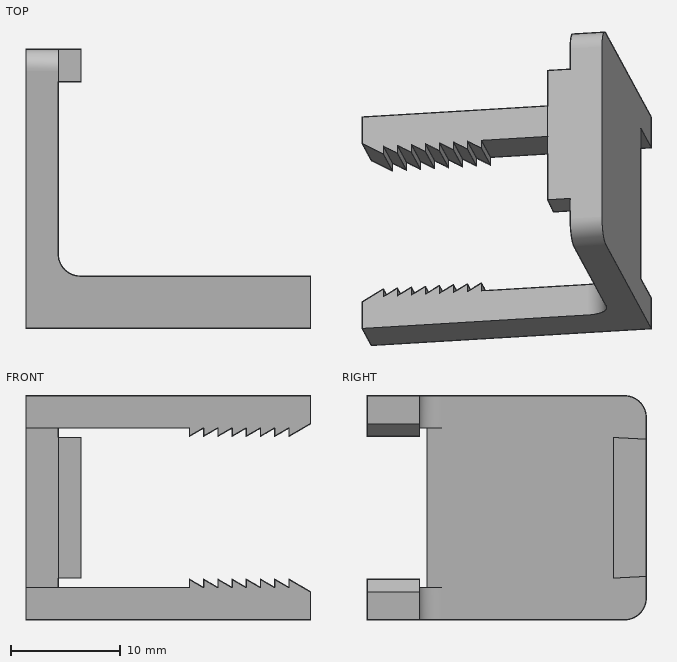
import cadquery as cq
import math

length = 26.0
depth = 25.5
height = 20.5

wall = 2.96
arm_depth = 4.78
window_depth = 5.45
corner_radius = 2.0
inner_radius = 2.0

lip_reach = 2.08
lip_depth = 3.0
lip_height = 12.85
lip_end_tilt = 3.0

tooth_count = 8
tooth_start = 14.92
tooth_pitch = 1.3
tooth_height = 0.75

half_height = height / 2
arm_inner = half_height - wall


def bracket_body():
    """L-shaped bracket with a rounded inside corner, centred on Z = 0."""
    body = (
        cq.Workplane("XY")
        .workplane(offset=-half_height)
        .polyline([
            (0, 0),
            (length, 0),
            (length, arm_depth),
            (wall, arm_depth),
            (wall, depth),
            (0, depth),
        ])
        .close()
        .extrude(height)
    )
    inside_corner = cq.selectors.NearestToPointSelector((wall, arm_depth, 0))
    body = body.edges(inside_corner).fillet(inner_radius)
    return body.edges("|X and >Y").fillet(corner_radius)


def window():
    """Opening that separates the arms, notches the plate and clears the inside fillet between the arms."""
    gap = 2 * arm_inner
    notch = cq.Workplane("XY").box(length, window_depth, gap, centered=(False, False, True))
    fillet_clearance = (
        cq.Workplane("XY")
        .box(length - wall, arm_depth + inner_radius, gap, centered=(False, False, True))
        .translate((wall, 0, 0))
    )
    return notch.union(fillet_clearance)


def lip():
    """Bar inside the plate's far edge, its ends narrowing slightly towards that edge."""
    front_half = lip_height / 2
    back_half = front_half - lip_depth * math.tan(math.radians(lip_end_tilt))
    front = depth - lip_depth
    return (
        cq.Workplane("YZ")
        .workplane(offset=wall)
        .polyline([
            (front, -front_half),
            (front, front_half),
            (depth, back_half),
            (depth, -back_half),
        ])
        .close()
        .extrude(lip_reach)
    )


def upper_teeth():
    """Ramped teeth below the upper arm, steep side towards the plate."""
    points = [(tooth_start, half_height)]
    for index in range(tooth_count):
        root = tooth_start + index * tooth_pitch
        points.append((root, arm_inner))
        points.append((root, arm_inner - tooth_height))
    points.append((length, tip_height))
    points.append((length, half_height))
    return cq.Workplane("XZ").polyline(points).close().extrude(-arm_depth)


def tip_relief():
    """Wedge removed from the upper arm's tip, continuing the last tooth's ramp."""
    return (
        cq.Workplane("XZ")
        .polyline([
            (last_tooth, arm_inner - tooth_height),
            (length, tip_height),
            (length, arm_inner - tooth_height),
        ])
        .close()
        .extrude(-arm_depth)
    )


last_tooth = tooth_start + (tooth_count - 1) * tooth_pitch
tip_height = arm_inner - tooth_height + (length - last_tooth) * tooth_height / tooth_pitch

teeth = upper_teeth()
relief = tip_relief()
result = (
    bracket_body()
    .cut(window())
    .union(lip())
    .union(teeth)
    .union(teeth.mirror("XY"))
    .cut(relief)
    .cut(relief.mirror("XY"))
)